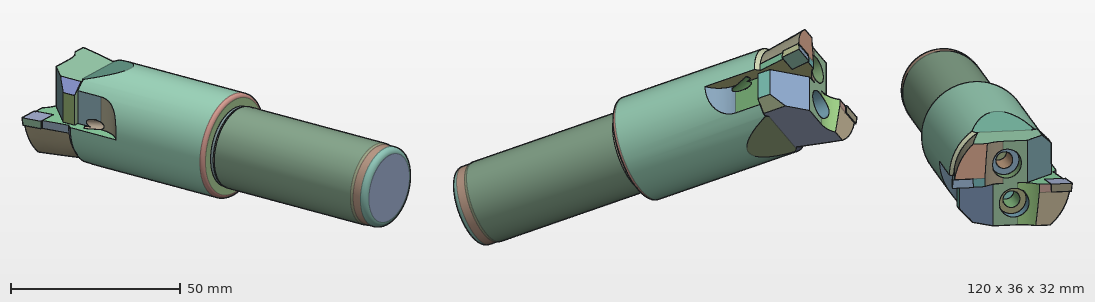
import cadquery as cq
import math


TOTAL_LENGTH = 120.0
BODY_DIAMETER = 32.0
SHANK_DIAMETER = 25.0
RELIEF_DIAMETER = 24.5
BODY_END = 64.1
BODY_ROUND = 1.2
RELIEF_END = 65.0
RELIEF_TAPER = 0.6
REAR_LAND_START = 114.7
REAR_LAND_TAPER = 0.8
REAR_ROUND = 1.8

HEAD_END = 16.1
HEAD_TIP_RADIUS = 17.5
HEAD_WAIST_RADIUS = 15.0
WAIST_X = 14.8
HEAD_HALF_HEIGHT = 12.8
SHOULDER_START = 15.2
SHOULDER_END = 26.6
TOOTH_FACE_X = 0.5
TOOTH_BACK_X = 1.5
GULLET_X = 3.4
GULLET_ARC_START = 2.2
GULLET_ARC_END = 8.2
GULLET_CORNER = 5.2
FLANK_Y = 13.8
FLANK_CHAMFER = 3.4

FLUTE_WALL_Y = 12.1
FLUTE_ARC_START = 24.5
FLUTE_ARC_RADIUS = 10.5

SCREW_HOLE_Y = 1.1
SCREW_HOLE_Z = 6.0
SCREW_HEAD_DIAMETER = 8.8
SCREW_HEAD_DEPTH = 4.2
SCREW_HOLE_DIAMETER = 5.0
SCREW_HOLE_DEPTH = 14.4
COOLANT_DIAMETER = 2.9
COOLANT_X = 22.5
COOLANT_Z = 1.2
COOLANT_ANGLE = 26.0
COOLANT_OUTER_LENGTH = 3.4
COOLANT_DEPTH = 14.4

INSERT_LENGTH = 6.2
INSERT_THICKNESS = 2.5
INSERT_TIP_Y = 18.0
INSERT_REAR_Y = 17.0
INSERT_INNER_FRONT_Y = 11.6
INSERT_INNER_REAR_Y = 10.7
INSERT_RELIEF_ANGLE = 5.0

BODY_RADIUS = BODY_DIAMETER / 2
CLEAR = 2 * BODY_DIAMETER


def half_turn(shape):
    """Turn a shape half way round the cutter axis."""
    return shape.rotate((0, 0, 0), (1, 0, 0), 180)


def make_blank():
    """Turned shape of the head, body and shank."""
    shank_radius = SHANK_DIAMETER / 2
    relief_radius = RELIEF_DIAMETER / 2
    profile = [
        (0, 0),
        (0, HEAD_TIP_RADIUS),
        (WAIST_X, HEAD_WAIST_RADIUS),
        (HEAD_END, BODY_RADIUS),
        (BODY_END, BODY_RADIUS),
        (BODY_END, relief_radius),
        (RELIEF_END, relief_radius),
        (RELIEF_END + RELIEF_TAPER, shank_radius),
        (REAR_LAND_START, shank_radius),
        (REAR_LAND_START + REAR_LAND_TAPER, relief_radius),
        (TOTAL_LENGTH, relief_radius),
        (TOTAL_LENGTH, 0),
    ]
    blank = cq.Workplane("XY").polyline(profile).close().revolve(360, (0, 0, 0), (1, 0, 0))
    body_rim = cq.selectors.BoxSelector(
        (BODY_END - BODY_ROUND, -BODY_DIAMETER, -BODY_DIAMETER),
        (BODY_END + BODY_ROUND, BODY_DIAMETER, BODY_DIAMETER),
        boundingbox=True,
    )
    rim_circle = blank.edges("%CIRCLE").edges(body_rim).edges(cq.selectors.RadiusNthSelector(-1))
    blank = rim_circle.fillet(BODY_ROUND)
    return blank.faces(">X").edges().fillet(REAR_ROUND)


def make_flank_block():
    """Square corner of the upper half of the head, on the side away from its tooth."""
    return cq.Workplane("XY").box(
        HEAD_END, FLANK_Y, HEAD_HALF_HEIGHT, centered=False
    ).translate((0, -FLANK_Y, 0))


def make_top_flat_cut():
    """Space above the flat head and the sloping shoulder behind it."""
    return (
        cq.Workplane("XZ")
        .moveTo(0, HEAD_HALF_HEIGHT)
        .lineTo(SHOULDER_START, HEAD_HALF_HEIGHT)
        .lineTo(SHOULDER_END, BODY_RADIUS)
        .lineTo(SHOULDER_END, CLEAR)
        .lineTo(0, CLEAR)
        .close()
        .extrude(CLEAR, both=True)
    )


def make_gullet_cut():
    """Space in front of the upper half of the head, from the tooth round to the flank."""
    arc_depth = GULLET_X - TOOTH_FACE_X
    arc_width = GULLET_ARC_END - GULLET_ARC_START
    arc_radius = (arc_depth**2 + arc_width**2) / (2 * arc_depth)
    half_sweep = math.asin(arc_width / arc_radius) / 2
    arc_middle = (
        GULLET_X - arc_radius * (1 - math.cos(half_sweep)),
        GULLET_ARC_START + arc_radius * math.sin(half_sweep),
    )
    flank_start = GULLET_X + FLANK_Y - GULLET_CORNER
    return (
        cq.Workplane("XY")
        .moveTo(-CLEAR, GULLET_ARC_END)
        .lineTo(TOOTH_FACE_X, GULLET_ARC_END)
        .threePointArc(arc_middle, (GULLET_X, GULLET_ARC_START))
        .lineTo(GULLET_X, -GULLET_CORNER)
        .lineTo(flank_start, -FLANK_Y)
        .lineTo(HEAD_END, -FLANK_Y)
        .lineTo(HEAD_END, -CLEAR)
        .lineTo(-CLEAR, -CLEAR)
        .close()
        .extrude(CLEAR)
    )


def make_tooth_relief_cut():
    """Space in front of the upper tooth, whose face leans back above the insert."""
    return (
        cq.Workplane("XZ")
        .moveTo(-CLEAR, 0)
        .lineTo(TOOTH_FACE_X, 0)
        .lineTo(TOOTH_FACE_X, INSERT_THICKNESS)
        .lineTo(TOOTH_BACK_X, HEAD_HALF_HEIGHT)
        .lineTo(-CLEAR, HEAD_HALF_HEIGHT)
        .close()
        .extrude(-CLEAR)
    )


def make_tooth_side_cut():
    """Flat band along the outer side of the upper tooth, as deep as the insert."""
    cone_slope = (HEAD_TIP_RADIUS - HEAD_WAIST_RADIUS) / WAIST_X
    radius_at_insert = HEAD_TIP_RADIUS - cone_slope * INSERT_LENGTH
    band_front_y = math.sqrt(radius_at_insert**2 - INSERT_THICKNESS**2)
    band_rear_y = math.sqrt(HEAD_WAIST_RADIUS**2 - INSERT_THICKNESS**2)
    return (
        cq.Workplane("XY")
        .moveTo(INSERT_LENGTH, band_front_y)
        .lineTo(WAIST_X, band_rear_y)
        .lineTo(WAIST_X, HEAD_TIP_RADIUS)
        .lineTo(INSERT_LENGTH, HEAD_TIP_RADIUS)
        .close()
        .extrude(INSERT_THICKNESS)
    )


def make_flank_chamfer_cut():
    """Corner removed between the flat top and the flank of the upper half."""
    return (
        cq.Workplane("YZ")
        .moveTo(-FLANK_Y, HEAD_HALF_HEIGHT)
        .lineTo(-FLANK_Y + FLANK_CHAMFER, HEAD_HALF_HEIGHT)
        .lineTo(-FLANK_Y, HEAD_HALF_HEIGHT - FLANK_CHAMFER)
        .close()
        .extrude(HEAD_END)
    )


def make_flute_cut():
    """Chip flute behind the insert, with a flat floor and a wall that curves outwards."""
    diagonal_offset = math.sqrt(0.5) * FLUTE_ARC_RADIUS
    arc_centre_y = -FLUTE_WALL_Y - FLUTE_ARC_RADIUS
    return (
        cq.Workplane("XY")
        .moveTo(HEAD_END, -FLUTE_WALL_Y)
        .lineTo(FLUTE_ARC_START, -FLUTE_WALL_Y)
        .threePointArc(
            (FLUTE_ARC_START + diagonal_offset, arc_centre_y + diagonal_offset),
            (FLUTE_ARC_START + FLUTE_ARC_RADIUS, arc_centre_y),
        )
        .lineTo(HEAD_END, arc_centre_y)
        .close()
        .extrude(CLEAR)
    )


def make_screw_hole():
    """Counterbored hole running back from the gullet face."""
    plane = cq.Workplane("YZ", origin=(GULLET_X, SCREW_HOLE_Y, SCREW_HOLE_Z))
    ahead = plane.circle(SCREW_HEAD_DIAMETER / 2).extrude(-GULLET_X)
    counterbore = plane.circle(SCREW_HEAD_DIAMETER / 2).extrude(SCREW_HEAD_DEPTH)
    hole = plane.circle(SCREW_HOLE_DIAMETER / 2).extrude(SCREW_HOLE_DEPTH)
    return ahead.union(counterbore).union(hole)


def make_coolant_hole():
    """Slanting hole that opens in the flute wall and grazes the flute floor."""
    angle = math.radians(COOLANT_ANGLE)
    direction = cq.Vector(math.cos(angle), math.sin(angle), 0)
    wall_point = cq.Vector(COOLANT_X, -FLUTE_WALL_Y, COOLANT_Z)
    start = wall_point - direction * COOLANT_OUTER_LENGTH
    length = COOLANT_OUTER_LENGTH + COOLANT_DEPTH
    return cq.Workplane(cq.Solid.makeCylinder(COOLANT_DIAMETER / 2, length, start, direction))


def make_insert():
    """Cutting insert of the lower tooth, narrowing downwards from its top edges."""
    outline = [
        (0, -INSERT_TIP_Y),
        (INSERT_LENGTH, -INSERT_REAR_Y),
        (INSERT_LENGTH, -INSERT_INNER_REAR_Y),
        (0, -INSERT_INNER_FRONT_Y),
    ]
    return (
        cq.Workplane("XY")
        .polyline(outline)
        .close()
        .extrude(-INSERT_THICKNESS, taper=INSERT_RELIEF_ANGLE)
    )


def make_cutter(inserts):
    """Cutter body with its head features on both halves and a seat for each insert."""
    flank_block = make_flank_block()
    cutter = make_blank().union(flank_block).union(half_turn(flank_block))
    cuts = [
        make_top_flat_cut(),
        make_gullet_cut(),
        make_tooth_relief_cut(),
        make_tooth_side_cut(),
        make_flank_chamfer_cut(),
        make_flute_cut(),
        make_screw_hole(),
        make_coolant_hole(),
    ]
    for cut in cuts:
        cutter = cutter.cut(cut).cut(half_turn(cut))
    for insert in inserts:
        cutter = cutter.cut(insert)
    return cutter


lower_insert = make_insert()
inserts = [lower_insert, half_turn(lower_insert)]
cutter = make_cutter(inserts)

result = cq.Compound.makeCompound([cutter.solids().val(), *[insert.val() for insert in inserts]])